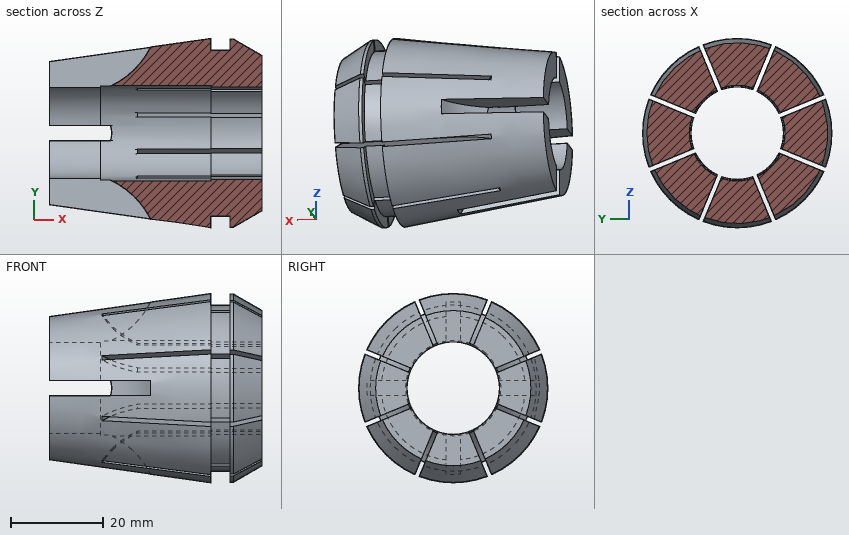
import cadquery as cq
import math

length = 46.0

cone_angle = math.radians(8)
cone_length = 34.9
cone_max_diameter = 41.0
cone_max_radius = cone_max_diameter / 2
groove_radius = 18.0
groove_end = 39.05
collar_radius = 20.4
collar_end = 39.8
nose_angle = math.radians(30)

bore_radius = 10.0
relief_radius = 10.3
bore_land = 11.1

cutter_radius = 18.4
cutter_axis_radius = 26.85
back_slot_count = 4
back_slot_width = 3.2
back_slot_end = 21.9
nose_slot_count = 8
nose_slot_width = 1.0
nose_slot_start = 11.4

clearance = 2.3


def cone_radius(x):
    """Radius of the long cone at a distance x from the back face."""
    return cone_max_radius - (cone_length - x) * math.tan(cone_angle)


def make_body():
    """Revolve the solid outer shape about the X axis."""
    nose_radius = collar_radius - (length - collar_end) * math.tan(nose_angle)
    profile = [
        (0, 0),
        (0, cone_radius(0)),
        (cone_length, cone_max_radius),
        (cone_length, groove_radius),
        (groove_end, groove_radius),
        (groove_end, collar_radius),
        (collar_end, collar_radius),
        (length, nose_radius),
        (length, 0),
    ]
    return cq.Workplane("XY").polyline(profile).close().revolve(360, (0, 0, 0), (1, 0, 0))


def make_bore():
    """Through bore with a slightly larger relief between its lands."""
    bore = cq.Workplane("YZ").circle(bore_radius).extrude(length)
    relief = (
        cq.Workplane("YZ", origin=(bore_land, 0, 0))
        .circle(relief_radius)
        .extrude(length - 2 * bore_land)
    )
    return bore.union(relief)


def cutter_reach(runout_x):
    """Axial distance from the cutter axis to where its rim meets the cone at runout_x."""
    return math.sqrt(cutter_radius**2 - (cutter_axis_radius - cone_radius(runout_x)) ** 2)


def slot_tool(width, cutter_x, open_x):
    """Disc cutter above the axis at cutter_x, fed straight along X past open_x."""
    disc = (
        cq.Workplane("XZ", origin=(cutter_x, 0, cutter_axis_radius))
        .circle(cutter_radius)
        .extrude(width / 2, both=True)
    )
    feed = cq.Workplane("XY").box(
        abs(open_x - cutter_x), width, 2 * cutter_radius
    ).translate(((cutter_x + open_x) / 2, 0, cutter_axis_radius))
    return disc.union(feed)


def cut_slots(body, tool, count, first_angle):
    """Cut equally spaced copies of the tool around the X axis."""
    for i in range(count):
        angle = first_angle + i * 360 / count
        body = body.cut(tool.rotate((0, 0, 0), (1, 0, 0), angle))
    return body


back_cutter_x = back_slot_end - cutter_reach(back_slot_end)
back_slot = slot_tool(back_slot_width, back_cutter_x, -clearance)

nose_cutter_x = nose_slot_start + cutter_reach(nose_slot_start)
nose_slot = slot_tool(nose_slot_width, nose_cutter_x, length + clearance)

result = make_body().cut(make_bore())
result = cut_slots(result, back_slot, back_slot_count, 0)
result = cut_slots(result, nose_slot, nose_slot_count, 180 / nose_slot_count)